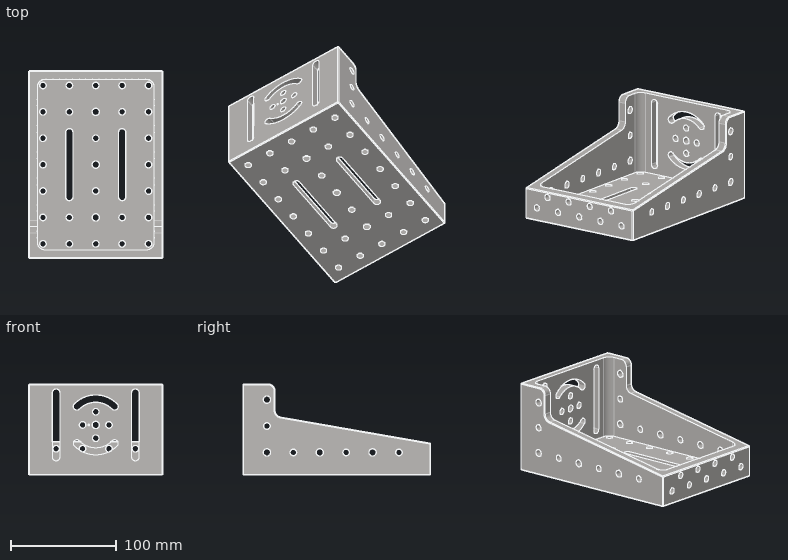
import cadquery as cq
import math

WIDTH = 127.0
LENGTH = 177.8
HEIGHT = 86.36
WALL = 8.25
FLOOR = 8.0
EDGE_CHAMFER = 0.8

FRONT_Y = -LENGTH / 2
BACK_Y = LENGTH / 2

SHOULDER_LENGTH = 30.4
SHOULDER_RADIUS = 6.35
SHOULDER_INNER_RADIUS = 6.7
SLOPE_TOP_Z = 56.0
BACK_HEIGHT = 30.3

POCKET_CORNER_RADIUS = 7.0

PITCH = 25.0
SMALL_HOLE_DIAMETER = 6.0
LARGE_HOLE_DIAMETER = 6.7
SLOT_LENGTH = 68.0
FLOOR_SLOT_WIDTH = 6.6
FRONT_SLOT_WIDTH = 7.0

FLOOR_COLUMNS = 5
FLOOR_ROWS = 7

SIDE_ROW_Z = 21.6
SIDE_ROW_COUNT = 6
SIDE_FRONT_MARGIN = 22.8
SIDE_FIRST_Y = FRONT_Y + SIDE_FRONT_MARGIN
SHOULDER_HOLE_COUNT = 3

BACK_UPPER_Z = 25.1
BACK_LOWER_Z = BACK_UPPER_Z - PITCH / 2
BACK_UPPER_COUNT = 4
BACK_LOWER_COUNT = 5

FRONT_CENTRE_Z = 47.6
FRONT_SLOT_X = 1.5 * PITCH
CROSS_RADIUS = PITCH / 2
PIN_HOLE_OFFSET = 6.5
PIN_HOLE_DIAMETER = 1.5
PIN_HOLE_DEPTH = 4.0
ARC_SLOT_RADIUS = PITCH
ARC_SLOT_WIDTH = 6.7
ARC_SLOT_HALF_ANGLE = 45.5


def centred_positions(count):
    """Positions of a row of holes at the common pitch, centred on zero."""
    return [(i - (count - 1) / 2) * PITCH for i in range(count)]


def two_size_holes(plane, small_holes, large_holes, depth):
    """Cylinders of both hole sizes, extruded from one workplane."""
    small = plane.pushPoints(small_holes).circle(SMALL_HOLE_DIAMETER / 2).extrude(depth)
    large = plane.pushPoints(large_holes).circle(LARGE_HOLE_DIAMETER / 2).extrude(depth)
    return small.union(large)


def make_body():
    """Extruded side profile with rounded shoulder and broken outer edges."""
    shoulder_y = FRONT_Y + SHOULDER_LENGTH
    body = (
        cq.Workplane("YZ", origin=(-WIDTH / 2, 0, 0))
        .moveTo(FRONT_Y, 0)
        .lineTo(BACK_Y, 0)
        .lineTo(BACK_Y, BACK_HEIGHT)
        .lineTo(shoulder_y, SLOPE_TOP_Z)
        .lineTo(shoulder_y, HEIGHT)
        .lineTo(FRONT_Y, HEIGHT)
        .close()
        .extrude(WIDTH)
    )
    for corner_z, radius in ((SLOPE_TOP_Z, SHOULDER_INNER_RADIUS), (HEIGHT, SHOULDER_RADIUS)):
        corner = cq.selectors.NearestToPointSelector((0, shoulder_y, corner_z))
        body = body.edges("|X").edges(corner).fillet(radius)
    return body.faces("<X or >X or <Y or >Y").edges().chamfer(EDGE_CHAMFER)


def make_pocket():
    """Open-topped pocket that leaves the floor and four walls."""
    return (
        cq.Workplane("XY", origin=(0, 0, FLOOR))
        .rect(WIDTH - 2 * WALL, LENGTH - 2 * WALL)
        .extrude(HEIGHT)
        .edges("|Z")
        .fillet(POCKET_CORNER_RADIUS)
    )


def make_floor_cutter():
    """Grid of floor holes, with two slots replacing the middle of two columns.

    Every second hole of the centre column is large.
    """
    slot_columns = (-PITCH, PITCH)
    large_holes = [(0, -2 * PITCH), (0, 0), (0, 2 * PITCH)]
    small_holes = [
        (x, y)
        for x in centred_positions(FLOOR_COLUMNS)
        for y in centred_positions(FLOOR_ROWS)
        if (x, y) not in large_holes and not (x in slot_columns and abs(y) <= PITCH)
    ]
    plane = cq.Workplane("XY")
    holes = two_size_holes(plane, small_holes, large_holes, FLOOR)
    slots = (
        plane.pushPoints([(x, 0) for x in slot_columns])
        .slot2D(SLOT_LENGTH, FLOOR_SLOT_WIDTH, 90)
        .extrude(FLOOR)
    )
    return holes.union(slots)


def make_side_cutter():
    """Holes across both side walls: one long row and a column at the shoulder.

    Large and small holes alternate, starting with a large one at the corner.
    """
    row = [(SIDE_FIRST_Y + i * PITCH, SIDE_ROW_Z) for i in range(SIDE_ROW_COUNT)]
    column = [(SIDE_FIRST_Y, SIDE_ROW_Z + i * PITCH) for i in range(1, SHOULDER_HOLE_COUNT)]
    large_holes = row[0::2] + column[1::2]
    small_holes = row[1::2] + column[0::2]
    plane = cq.Workplane("YZ", origin=(-WIDTH / 2, 0, 0))
    return two_size_holes(plane, small_holes, large_holes, WIDTH)


def make_back_cutter():
    """Two staggered rows of holes through the back wall."""
    upper = [(x, BACK_UPPER_Z) for x in centred_positions(BACK_UPPER_COUNT)]
    lower = [(x, BACK_LOWER_Z) for x in centred_positions(BACK_LOWER_COUNT)]
    return (
        cq.Workplane("XZ", origin=(0, BACK_Y, 0))
        .pushPoints(upper + lower)
        .circle(SMALL_HOLE_DIAMETER / 2)
        .extrude(WALL)
    )


def front_plane():
    """Plane on the inside of the front wall, centred on its hole pattern and facing -Y."""
    return cq.Workplane("XZ", origin=(0, FRONT_Y + WALL, FRONT_CENTRE_Z))


def make_arc_slot(mid_angle):
    """Round-ended slot that follows a circle about the front pattern centre."""

    def polar(radius, angle):
        return (radius * math.cos(math.radians(angle)), radius * math.sin(math.radians(angle)))

    start = mid_angle - ARC_SLOT_HALF_ANGLE
    end = mid_angle + ARC_SLOT_HALF_ANGLE
    inner = ARC_SLOT_RADIUS - ARC_SLOT_WIDTH / 2
    outer = ARC_SLOT_RADIUS + ARC_SLOT_WIDTH / 2
    band = (
        front_plane()
        .moveTo(*polar(outer, start))
        .threePointArc(polar(outer, mid_angle), polar(outer, end))
        .lineTo(*polar(inner, end))
        .threePointArc(polar(inner, mid_angle), polar(inner, start))
        .close()
        .extrude(WALL)
    )
    ends = (
        front_plane()
        .pushPoints([polar(ARC_SLOT_RADIUS, start), polar(ARC_SLOT_RADIUS, end)])
        .circle(ARC_SLOT_WIDTH / 2)
        .extrude(WALL)
    )
    return band.union(ends)


def make_front_cutter():
    """Front wall openings: straight slots, arc slots, centre hole, cross and pin hole."""
    cutter = (
        front_plane()
        .pushPoints([(-FRONT_SLOT_X, 0), (FRONT_SLOT_X, 0)])
        .slot2D(SLOT_LENGTH, FRONT_SLOT_WIDTH, 90)
        .extrude(WALL)
    )
    for mid_angle in (90, 270):
        cutter = cutter.union(make_arc_slot(mid_angle))
    cross = [(-CROSS_RADIUS, 0), (CROSS_RADIUS, 0), (0, -CROSS_RADIUS), (0, CROSS_RADIUS)]
    return cutter.union(two_size_holes(front_plane(), cross, [(0, 0)], WALL))


def make_pin_hole():
    """Shallow blind pin hole beside the centre hole."""
    return (
        cq.Workplane("XZ", origin=(-PIN_HOLE_OFFSET, FRONT_Y, FRONT_CENTRE_Z))
        .circle(PIN_HOLE_DIAMETER / 2)
        .extrude(-PIN_HOLE_DEPTH)
    )


result = make_body().cut(make_pocket())
for cutter in (
    make_floor_cutter(),
    make_side_cutter(),
    make_back_cutter(),
    make_front_cutter(),
    make_pin_hole(),
):
    result = result.cut(cutter)